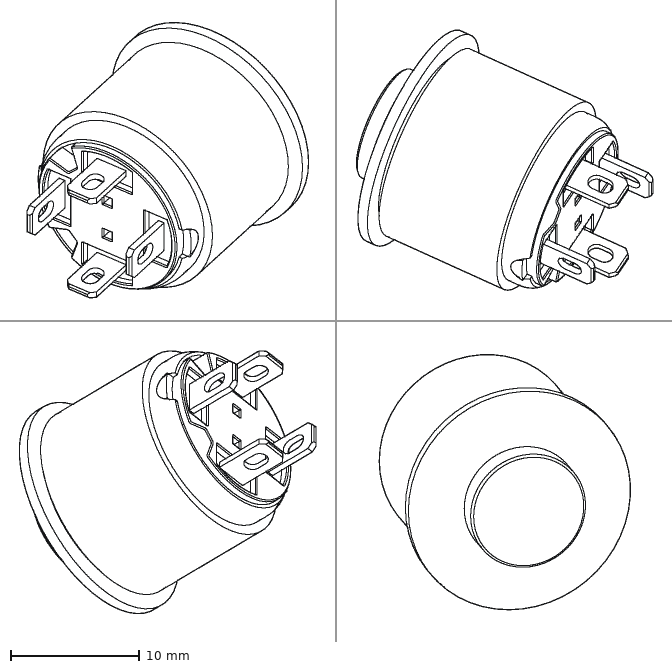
import cadquery as cq
import math


overall_length = 21.3

flange_radius = 18.0 / 2
flange_rim_height = 0.85
flange_height = 1.5
flange_top_radius = 6.9
button_radius = 9.3 / 2
button_top_y = 3.5
button_chamfer = 0.2
neck_radius = 14.42 / 2
neck_end_y = -0.5
body_radius = 16.0 / 2
body_end_y = -10.97
round_start_y = -12.01
shoulder_end_y = -13.18
shoulder_end_radius = 6.8

lug_disc_radius = 1.4
lug_outer_radius = 7.22
lug_ledge_y = -12.78

cap_radius = 6.52
cap_end_y = -13.8
edge_break = 0.1

key_angles = (135, 225)
key_floor_y = round_start_y
key_inner_distance = 4.66
key_inner_half_width = 0.58
key_rim_half_width = 1.43
key_rim_distance = 6.33
key_corner_radius = 0.21

pocket_inner_distance = 3.51
pocket_outer_radius = 6.03
pocket_width = 4.6

square_hole_size = 0.77
square_hole_offset = 1.66
square_hole_depth = 1.06

tab_distance = 4.69
tab_width = 2.75
tab_thickness = 0.53
tab_end_y = button_top_y - overall_length
tab_corner_chamfer = 0.51
tab_tip_chamfer = 0.15
tab_slot_width = 1.35
tab_slot_length = 2.07
tab_slot_y = -15.78

cap_height = shoulder_end_y - cap_end_y
quarter_turns = (0, 90, 180, 270)


def rear_plane(y):
    """Sketch plane facing -Y, with local x along +X and local y along +Z."""
    return cq.Workplane("XZ", origin=(0, y, 0))


def turn(shape, angle):
    """Turn a shape about the part axis, from +X toward +Z."""
    return shape.rotate((0, 0, 0), (0, -1, 0), angle)


def cylinder(radius, front_y, rear_y):
    return rear_plane(front_y).circle(radius).extrude(front_y - rear_y)


def make_housing():
    drop = neck_radius - shoulder_end_radius
    length = round_start_y - shoulder_end_y
    round_radius = (length**2 + drop**2) / (2 * drop)
    half_sweep = math.asin(length / round_radius) / 2
    arc_middle = (
        neck_radius - round_radius * (1 - math.cos(half_sweep)),
        round_start_y - round_radius * math.sin(half_sweep),
    )
    profile = (
        cq.Workplane("XY")
        .moveTo(0, button_top_y)
        .lineTo(button_radius - button_chamfer, button_top_y)
        .lineTo(button_radius, button_top_y - button_chamfer)
        .lineTo(button_radius, flange_height)
        .lineTo(flange_top_radius, flange_height)
        .lineTo(flange_radius, flange_rim_height)
        .lineTo(flange_radius, 0)
        .lineTo(neck_radius, 0)
        .lineTo(neck_radius, neck_end_y)
        .lineTo(body_radius, neck_end_y)
        .lineTo(body_radius, body_end_y)
        .lineTo(neck_radius, body_end_y)
        .lineTo(neck_radius, round_start_y)
        .threePointArc(arc_middle, (shoulder_end_radius, shoulder_end_y))
        .lineTo(0, shoulder_end_y)
        .close()
    )
    return profile.revolve(360, (0, 0, 0), (0, 1, 0))


def add_lugs(housing):
    """Add a half-disc lug on each side, with a notch cut behind its ledge."""
    disc = (
        cq.Workplane("YZ", origin=(-lug_outer_radius, 0, 0))
        .center(shoulder_end_y, 0)
        .circle(lug_disc_radius)
        .extrude(2 * lug_outer_radius)
    )
    lugs = disc.intersect(cylinder(lug_outer_radius, body_end_y, lug_ledge_y))
    notch_ring = cylinder(lug_outer_radius, lug_ledge_y, shoulder_end_y).cut(
        cylinder(cap_radius, lug_ledge_y, shoulder_end_y)
    )
    return housing.union(lugs).cut(disc.intersect(notch_ring))


def make_key_notch():
    slope = (key_rim_half_width - key_inner_half_width) / (key_rim_distance - key_inner_distance)
    end_distance = 2 * cap_radius - key_inner_distance
    end_half_width = key_inner_half_width + slope * (end_distance - key_inner_distance)
    outline = [
        (key_inner_distance, -key_inner_half_width),
        (end_distance, -end_half_width),
        (end_distance, end_half_width),
        (key_inner_distance, key_inner_half_width),
    ]
    return rear_plane(key_floor_y).polyline(outline).close().extrude(key_floor_y - cap_end_y)


def make_tab_pocket():
    block = (
        rear_plane(shoulder_end_y)
        .center(pocket_inner_distance + cap_radius / 2, 0)
        .rect(cap_radius, pocket_width)
        .extrude(cap_height)
    )
    return block.intersect(cylinder(pocket_outer_radius, shoulder_end_y, cap_end_y))


def flare_mouth(cutter):
    """Widen a cutter at 45 degrees where it breaks through the cap face."""
    for wire in cutter.faces("<Y").wires().vals():
        flare = (
            rear_plane(cap_end_y + edge_break)
            .add(wire.translate(cq.Vector(0, edge_break, 0)))
            .toPending()
            .extrude(edge_break, taper=-45)
        )
        cutter = cutter.union(flare)
    return cutter


def make_cap():
    cap = cylinder(cap_radius, key_floor_y, cap_end_y)
    for angle in key_angles:
        cap = cap.cut(turn(make_key_notch(), angle))

    minus_x_half = cq.selectors.BoxSelector(
        (-2 * cap_radius, cap_end_y, -cap_radius),
        (0, key_floor_y, cap_radius),
    )
    cap = cap.edges("|Y").edges(minus_x_half).fillet(key_corner_radius)
    cap = cap.faces("<Y").chamfer(edge_break)

    pocket = flare_mouth(make_tab_pocket())
    for angle in quarter_turns:
        cap = cap.cut(turn(pocket, angle))
    return cap


def cut_square_holes(part):
    holes = (
        rear_plane(cap_end_y + square_hole_depth)
        .pushPoints([(0, square_hole_offset), (0, -square_hole_offset)])
        .rect(square_hole_size, square_hole_size)
        .extrude(square_hole_depth)
    )
    return part.cut(flare_mouth(holes))


def make_tab():
    tab = (
        rear_plane(shoulder_end_y)
        .center(tab_distance, 0)
        .rect(tab_thickness, tab_width)
        .extrude(shoulder_end_y - tab_end_y)
    )
    tab = tab.faces("<Y").edges("|X").chamfer(tab_corner_chamfer)
    tab = tab.faces("<Y").edges("|Z").chamfer(tab_tip_chamfer)
    slot = (
        cq.Workplane("YZ", origin=(tab_distance - tab_thickness, 0, 0))
        .center(tab_slot_y, 0)
        .slot2D(tab_slot_length, tab_slot_width)
        .extrude(2 * tab_thickness)
    )
    return tab.cut(slot)


cap_seat = cylinder(cap_radius, key_floor_y, shoulder_end_y)
result = add_lugs(make_housing()).cut(cap_seat).union(make_cap())
result = cut_square_holes(result)
tab = make_tab()
for tab_angle in quarter_turns:
    result = result.union(turn(tab, tab_angle))